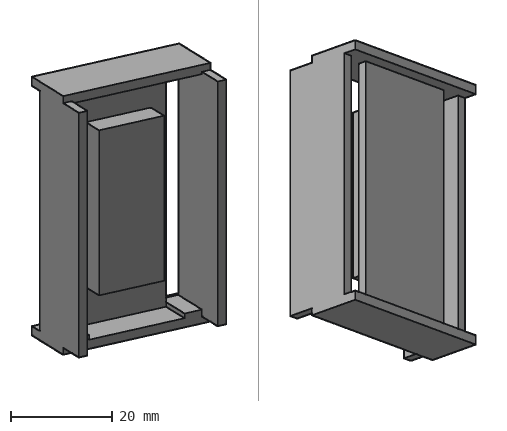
import cadquery as cq

depth = 18.0
width = 34.0
height = 55.1

wall = 2.0
lip = 3.0
plate_depth = 12.0
side_inset = 1.5

panel_thickness = 2.0
slot_width = 4.0
slot_bottom = 3.0

block_depth = 5.0
block_width = 15.0
block_inset = 9.95

panel_back = lip + panel_thickness
cavity_top = height - wall
slot_outer = width / 2 - wall
panel_half_width = slot_outer - slot_width


def box(x_range, y_range, z_range):
    """Axis-aligned box spanning the given (low, high) ranges."""
    spans = [high - low for low, high in (x_range, y_range, z_range)]
    corner = cq.Vector(x_range[0], y_range[0], z_range[0])
    return cq.Workplane("XY").box(*spans, centered=False).translate(corner)


def centered(size):
    """Range of the given size, symmetric about the middle plane."""
    return (-size / 2, size / 2)


case = box((0, plate_depth), centered(width), (0, height))
rear = box((lip, depth), centered(width), (side_inset, height - side_inset))
front_recess = box((0, lip), centered(width), (wall, cavity_top))
result = case.union(rear).cut(front_recess)

rear_opening = box((plate_depth, depth), (-slot_outer, slot_outer), (0, height))
result = result.cut(rear_opening)

cavity = box((panel_back, depth), (-panel_half_width, panel_half_width), (wall, cavity_top))
result = result.cut(cavity)

for slot_range in ((-slot_outer, -panel_half_width), (panel_half_width, slot_outer)):
    slot = box((lip, depth), slot_range, (slot_bottom, cavity_top))
    result = result.cut(slot)

block = box(
    (panel_back, panel_back + block_depth),
    centered(block_width),
    (block_inset, height - block_inset),
)
result = result.union(block)